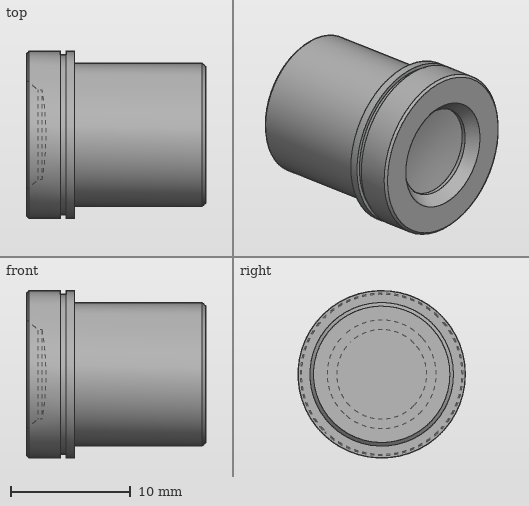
import cadquery as cq
import math

total_length = 14.96
barrel_radius = 12.0 / 2
barrel_chamfer = 0.3

head_radius = 14.0 / 2
head_length = 4.0
head_chamfer = 0.2
groove_radius = 13.4 / 2
groove_start = 2.8
groove_width = 0.5

opening_radius = 9.1 / 2
lens_radius = 7.5 / 2
cone_depth = 0.95
step_depth = 0.33
lens_sag = 0.33


def make_groove():
    """Ring of material removed from the rim of the head."""
    ring = cq.Workplane("YZ", origin=(groove_start, 0, 0)).circle(head_radius).circle(groove_radius)
    return ring.extrude(groove_width)


def make_body():
    """Head and barrel with chamfered ends."""
    head = cq.Workplane("YZ").circle(head_radius).extrude(head_length)
    head = head.faces("<X").chamfer(head_chamfer)
    barrel = cq.Workplane("YZ").circle(barrel_radius).extrude(total_length)
    barrel = barrel.faces(">X").chamfer(barrel_chamfer)
    return head.union(barrel)


def make_front_opening():
    """Revolved volume of the opening, ending in a shallow spherical lens face."""
    lens_edge = cone_depth + step_depth
    lens_middle = lens_edge + lens_sag
    sphere_radius = (lens_radius**2 + lens_sag**2) / (2 * lens_sag)
    arc_radius = lens_radius / 2
    arc_depth = lens_middle - sphere_radius + math.sqrt(sphere_radius**2 - arc_radius**2)
    profile = (
        cq.Workplane("XY")
        .lineTo(0, opening_radius)
        .lineTo(cone_depth, lens_radius)
        .lineTo(lens_edge, lens_radius)
        .threePointArc((arc_depth, arc_radius), (lens_middle, 0))
        .close()
    )
    return profile.revolve(360, (0, 0, 0), (1, 0, 0))


result = make_body().cut(make_groove()).cut(make_front_opening())